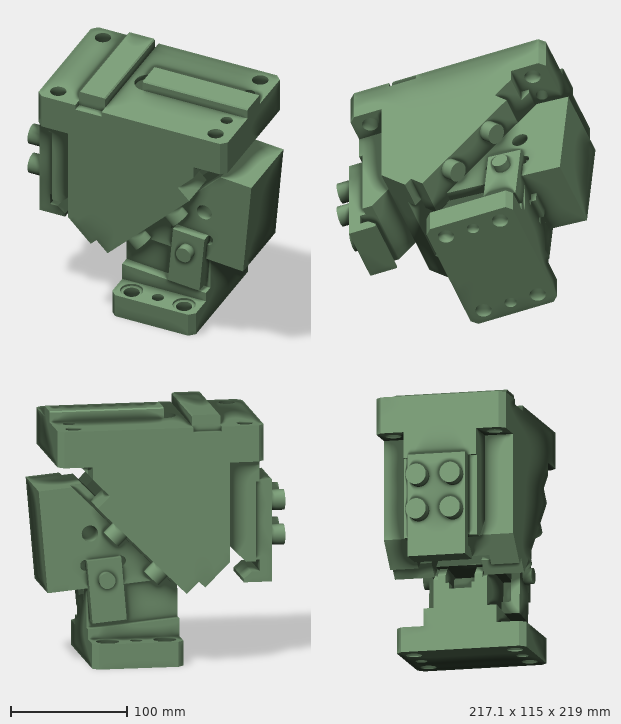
import cadquery as cq
import math

total_height = 219.0
body_width = 115.0
guide_width = 64.8
corner_chamfer = 5.0
bolt_hole_dia = 14.0
dowel_hole_dia = 10.5
hole_y = 45.0
tilt = 5.0

base_length = 79.7
flange_height = 22.0
column_width = 47.3
rail_ledge_height = 37.5
base_crest_width = 39.9
base_groove_width = 25.8
base_groove_floor = 59.0
base_key_width = 19.7
base_key_floor = 53.7
base_key_height = 14.0
base_key_start = 17.5
base_hole_inset = 15.0
counterbore_dia = 20.0
counterbore_depth = 2.0

face_offset = 65.7
shoulder_offset = 62.0
neck_offset = 73.0
retainer_offset = 87.0
pocket_offset = 100.5
retainer_start = 61.5
retainer_end = 216.8
neck_width = 43.0
neck_slot_width = 44.2
retainer_bolt_dia = 17.5
retainer_bolt_length = 11.4
retainer_bolt_sums = (104.0, 174.5)
retainer_bolt_y = 48.0

top_plate_start = -70.0
top_plate_length = 180.0
top_plate_thickness = 31.8
top_hole_inset = 15.1
top_dowel_y = 22.5
key_rise = 9.5
keyway_depth = 4.5
key_width = 25.0
key_chamfer = 1.0
cross_key_start = -32.8
cross_key_length = 99.9
long_key_start = 10.0
cheek_start = -39.9
cheek_corner_height = 90.5
web_end = 86.5
web_front_bottom = 85.0
web_front_foot = -58.3

bracket_width = 51.0
bracket_front = -82.1
bracket_back = -67.0
bracket_top = 155.0
bracket_bottom = 65.5
bracket_throat = -71.8
bracket_lip_top = 74.7
bracket_lip_bevel_start = -64.5
bracket_lip_bevel_bottom = 68.5
bracket_lip_end = -57.5
bracket_bolt_dia = 18.0
bracket_bolt_length = 12.0
bracket_bolt_y = 15.1
bracket_bolt_heights = (104.7, 135.1)

slider_top_x = 83.7
slider_top_width = 39.5
slider_height = 90.0
slider_hole_dia = 14.2
slider_hole_x = 78.2
slider_hole_z = 114.5
stop_length = 5.3
stop_depth = 9.5

hook_x = 52.1
hook_z = 94.4
hook_width = 30.0
hook_height = 55.0
hook_outer_width = 80.5
hook_inner_width = 48.5
hook_lip_height = 10.5
hook_spacer_setback = 5.5
hook_keyway_length = 40.0
hook_keyway_height = 10.0
hook_keyway_depth = 5.0
pin_dia = 14.0
pin_length = 7.9
pin_drop = 17.5

base_hole_ends = (base_hole_inset, base_length - base_hole_inset)
plate_top = total_height - key_rise
plate_bottom = plate_top - top_plate_thickness
top_plate_end = top_plate_start + top_plate_length
slope = math.tan(math.radians(tilt))
tilt_cos = math.cos(math.radians(tilt))
tilt_sin = math.sin(math.radians(tilt))


def tilted(start, along, down):
    """Point reached from start by going along and down in the tilted directions."""
    return (
        start[0] + along * tilt_cos - down * tilt_sin,
        start[1] - along * tilt_sin - down * tilt_cos,
    )


def on_guide(coordinate_sum, offset):
    """Point (X, Z) with the given X + Z on the guide plane Z = X + offset."""
    return ((coordinate_sum - offset) / 2, (coordinate_sum + offset) / 2)


slider_top_corner = (slider_top_x, slider_top_x + neck_offset)
slider_far_corner = tilted(slider_top_corner, slider_top_width, 0)
slider_foot_corner = tilted(slider_far_corner, 0, slider_height)
sliding_plane_height = slider_foot_corner[1] + slope * slider_foot_corner[0]


def at_sliding_plane(offset):
    """Point (X, Z) where a guide plane meets the sliding plane on top of the base."""
    x = (sliding_plane_height - offset) / (1 + slope)
    return (x, x + offset)


def prism(points, y_from, y_to):
    """Solid with an XZ outline between two Y positions."""
    plane = cq.Workplane("XZ", origin=(0, y_to, 0))
    return plane.polyline(points).close().extrude(y_to - y_from)


def centred_prism(points, width):
    return prism(points, -width / 2, width / 2)


def block(x_from, x_to, width, z_from, z_to):
    """Box centred on Y = 0."""
    return (
        cq.Workplane("XY", origin=((x_from + x_to) / 2, 0, z_from))
        .rect(x_to - x_from, width)
        .extrude(z_to - z_from)
    )


def sloped_bar(width, floor, top, start, end):
    """Bar whose floor and top, given at X = 0, fall with the tilt."""
    points = [
        (start, floor - slope * start),
        (end, floor - slope * end),
        (end, top - slope * end),
        (start, top - slope * start),
    ]
    return centred_prism(points, width)


def make_base():
    base = block(0, base_length, body_width, 0, flange_height).edges("|Z").chamfer(corner_chamfer)
    base = base.union(sloped_bar(guide_width, flange_height, rail_ledge_height, 0, base_length))
    far_top = (base_length, sliding_plane_height - slope * base_length)
    for width, offset in ((column_width, shoulder_offset), (base_crest_width, face_offset)):
        column = [
            (0, flange_height),
            (base_length, flange_height),
            far_top,
            at_sliding_plane(offset),
            (0, offset),
        ]
        base = base.union(centred_prism(column, width))

    base = base.cut(sloped_bar(base_groove_width, base_groove_floor, total_height, 0, base_length))
    base = base.cut(sloped_bar(base_key_width, base_key_floor, total_height, 0, base_key_start))
    key_top = base_key_floor + base_key_height
    key = sloped_bar(base_key_width, base_key_floor, key_top, base_key_start, base_length)
    base = base.union(key.faces(">Z").edges("not |Y").chamfer(key_chamfer))

    bolt_points = [(x, side * hole_y) for x in base_hole_ends for side in (-1, 1)]
    dowel_points = [(base_length / 2, side * hole_y) for side in (-1, 1)]
    top = cq.Workplane("XY", origin=(0, 0, flange_height))
    base = base.cut(top.pushPoints(bolt_points).circle(bolt_hole_dia / 2).extrude(-flange_height))
    base = base.cut(top.pushPoints(bolt_points).circle(counterbore_dia / 2).extrude(-counterbore_depth))
    return base.cut(top.pushPoints(dowel_points).circle(dowel_hole_dia / 2).extrude(-flange_height))


def make_holder_block():
    plate = block(top_plate_start, top_plate_end, body_width, plate_bottom, plate_top)
    plate = plate.edges("|Z").chamfer(corner_chamfer)
    cheek_sum = cheek_start + cheek_corner_height
    cheeks = [
        (cheek_start, plate_bottom),
        (cheek_start, cheek_corner_height),
        on_guide(cheek_sum, retainer_offset),
        on_guide(retainer_start, retainer_offset),
        on_guide(retainer_start, face_offset),
        on_guide(retainer_end, face_offset),
        on_guide(retainer_end, retainer_offset),
        (base_length, base_length + retainer_offset),
        (base_length, plate_bottom),
    ]
    web = [
        (top_plate_start, plate_bottom),
        (top_plate_start, bracket_top),
        (bracket_back, bracket_top),
        (bracket_back, web_front_bottom),
        (web_front_foot, web_front_bottom),
        (cheek_start, web_front_bottom + cheek_start - web_front_foot),
        on_guide(retainer_end, retainer_offset),
        (web_end, web_end + retainer_offset),
        (web_end, plate_bottom),
    ]
    holder = plate.union(centred_prism(cheeks, body_width)).union(centred_prism(web, guide_width))

    pocket = [
        on_guide(cheek_sum, retainer_offset),
        on_guide(cheek_sum, pocket_offset),
        on_guide(retainer_end, pocket_offset),
        on_guide(retainer_end, retainer_offset),
    ]
    neck_slot = [
        on_guide(retainer_start, face_offset),
        on_guide(retainer_start, retainer_offset),
        on_guide(retainer_end, retainer_offset),
        on_guide(retainer_end, face_offset),
    ]
    holder = holder.cut(centred_prism(pocket, guide_width))
    return holder.cut(centred_prism(neck_slot, neck_slot_width))


def make_bracket():
    outline = [
        (bracket_front, bracket_top),
        (bracket_back, bracket_top),
        (bracket_back, web_front_bottom),
        (bracket_throat, web_front_bottom),
        (bracket_throat, bracket_lip_top),
        (bracket_lip_bevel_start, bracket_lip_top),
        (bracket_lip_end, bracket_lip_bevel_bottom),
        (bracket_lip_end, bracket_bottom),
        (bracket_front, bracket_bottom),
    ]
    bolt_points = [(side * bracket_bolt_y, z) for side in (-1, 1) for z in bracket_bolt_heights]
    bolt_heads = (
        cq.Workplane("YZ", origin=(bracket_front, 0, 0))
        .pushPoints(bolt_points)
        .circle(bracket_bolt_dia / 2)
        .extrude(-bracket_bolt_length)
    )
    return centred_prism(outline, bracket_width).union(bolt_heads)


def add_top_keys(holder):
    """Cuts the two keyways into the top plate and seats a key in each."""
    keyway_floor = plate_top - keyway_depth
    cross_key_end = cross_key_start + key_width
    holder = holder.cut(block(cross_key_start, cross_key_end, body_width, keyway_floor, plate_top))
    holder = holder.cut(block(long_key_start, top_plate_end, key_width, keyway_floor, plate_top))
    round_end = cq.Workplane("XY", origin=(long_key_start, 0, keyway_floor))
    holder = holder.cut(round_end.circle(key_width / 2).extrude(keyway_depth))

    cross_key = block(cross_key_start, cross_key_end, cross_key_length, keyway_floor, total_height)
    long_key = block(long_key_start, top_plate_end, key_width, keyway_floor, total_height)
    holder = holder.union(cross_key.faces(">Z").edges("|Y").chamfer(key_chamfer))
    return holder.union(long_key.faces(">Z").edges("|X").chamfer(key_chamfer))


def cut_top_holes(holder):
    bolt_x = (top_plate_start + top_hole_inset, top_plate_end - top_hole_inset)
    bolt_points = [(x, side * hole_y) for x in bolt_x for side in (-1, 1)]
    dowel_points = [(bolt_x[1], side * top_dowel_y) for side in (-1, 1)]
    top = cq.Workplane("XY", origin=(0, 0, plate_top))
    bolt_holes = top.pushPoints(bolt_points).circle(bolt_hole_dia / 2).extrude(-top_plate_thickness)
    dowel_holes = top.pushPoints(dowel_points).circle(dowel_hole_dia / 2).extrude(-top_plate_thickness)
    return holder.cut(bolt_holes).cut(dowel_holes)


def add_retainer_bolts(holder):
    """Bolt heads standing square on the 45 degree underside."""
    for bolt_sum in retainer_bolt_sums:
        x, z = on_guide(bolt_sum, face_offset)
        for side in (-1, 1):
            seat = cq.Plane(origin=(x, side * retainer_bolt_y, z), xDir=(0, 1, 0), normal=(1, 0, -1))
            head = cq.Workplane(seat).circle(retainer_bolt_dia / 2).extrude(retainer_bolt_length)
            holder = holder.union(head)
    return holder


def make_holder():
    holder = make_holder_block().union(make_bracket())
    holder = add_top_keys(holder)
    holder = cut_top_holes(holder)
    return add_retainer_bolts(holder)


def slider_outline(offset):
    """Slider outline below the guide plane with the given offset."""
    top_x = (slider_top_corner[1] + slope * slider_top_corner[0] - offset) / (1 + slope)
    return [(top_x, top_x + offset), slider_far_corner, slider_foot_corner, at_sliding_plane(offset)]


def make_hook_plate(side):
    """Hook plate with its lip, inner spacer and pin on one side of the slider."""
    corner = (hook_x, hook_z)
    inner, flank, outer = hook_inner_width / 2, guide_width / 2, hook_outer_width / 2

    def panel(along_from, along_to, down_from, down_to, y_from, y_to):
        points = [
            tilted(corner, along_from, down_from),
            tilted(corner, along_to, down_from),
            tilted(corner, along_to, down_to),
            tilted(corner, along_from, down_to),
        ]
        return prism(points, *sorted((side * y_from, side * y_to)))

    slider_foot_drop = (hook_z + slope * hook_x - sliding_plane_height) * tilt_cos
    lip_drop = hook_height - hook_lip_height
    plate = panel(0, hook_width, 0, hook_height, flank, outer)
    tongue = panel(0, hook_width, 0, hook_keyway_height, flank - hook_keyway_depth, flank)
    lip = panel(0, hook_width, lip_drop, hook_height, inner, flank)
    spacer = panel(hook_spacer_setback, hook_width, slider_foot_drop, lip_drop, inner, flank)
    plate = plate.union(tongue).union(lip).union(spacer)
    pin_x, pin_z = tilted(corner, hook_width / 2, pin_drop)
    pin = cq.Workplane("XZ", origin=(pin_x, side * outer, pin_z)).circle(pin_dia / 2)
    return plate.union(pin.extrude(-side * pin_length))


def make_hook_keyway(side):
    """Round-ended recess in the slider flank that takes the top of a hook plate."""
    x, z = tilted((hook_x, hook_z), hook_width / 2, hook_keyway_height / 2)
    flank = cq.Plane(
        origin=(x, side * guide_width / 2, z),
        xDir=(tilt_cos, 0, -tilt_sin),
        normal=(0, -side, 0),
    )
    outline = cq.Workplane(flank).slot2D(hook_keyway_length, hook_keyway_height)
    return outline.extrude(hook_keyway_depth)


def make_stop():
    """Stop under the slider that bears on the upright +X end of the base."""
    start = (base_length, sliding_plane_height - slope * base_length)
    points = [
        start,
        tilted(start, stop_length, 0),
        tilted(start, stop_length, stop_depth),
        tilted(start, stop_depth * slope, stop_depth),
    ]
    return centred_prism(points, base_key_width)


def make_slider():
    slider = centred_prism(slider_outline(shoulder_offset), guide_width)
    slider = slider.union(centred_prism(slider_outline(neck_offset), neck_width))
    hole = cq.Workplane("XZ", origin=(slider_hole_x, 0, slider_hole_z)).circle(slider_hole_dia / 2)
    slider = slider.cut(hole.extrude(guide_width, both=True))
    slider = slider.union(make_stop())
    for side in (-1, 1):
        slider = slider.cut(make_hook_keyway(side)).union(make_hook_plate(side))
    return slider


base = make_base()
holder = make_holder()
slider = make_slider()
result = cq.Compound.makeCompound([base.solids().val(), holder.solids().val(), slider.solids().val()])